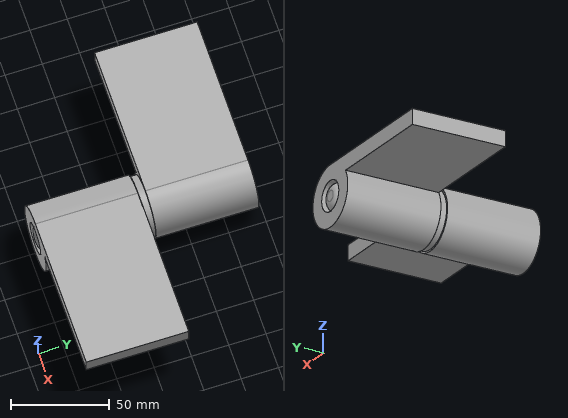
import cadquery as cq

HINGE_WIDTH = 164.0
KNUCKLE_DIAMETER = 35.0
LEAF_THICKNESS = 9.0
HINGE_LENGTH = 114.0
COLLAR_LENGTH = 4.0
COLLAR_DIAMETER = 33.0
BORE_DIAMETER = 17.0
PIN_DIAMETER = 16.0
PIN_END_ROUND = 5.1

knuckle_radius = KNUCKLE_DIAMETER / 2
leaf_reach = HINGE_WIDTH / 2
leaf_length = (HINGE_LENGTH - COLLAR_LENGTH) / 2


def cylinder_along_axis(diameter, length):
    """Cylinder on the hinge axis, centred on the origin."""
    return cq.Workplane("XZ").workplane(offset=-length / 2).circle(diameter / 2).extrude(length)


def make_leaf():
    """Front leaf: a bored knuckle with a plate toward +X, flush with the knuckle's top."""
    knuckle = cylinder_along_axis(KNUCKLE_DIAMETER, leaf_length)
    plate = cq.Workplane("XY").box(
        leaf_reach, leaf_length, LEAF_THICKNESS, centered=(False, True, False)
    ).translate((0, 0, knuckle_radius - LEAF_THICKNESS))
    bore = cylinder_along_axis(BORE_DIAMETER, leaf_length)
    leaf = knuckle.union(plate).cut(bore)
    return leaf.translate((0, -(leaf_length + COLLAR_LENGTH) / 2, 0))


def make_pin():
    """Pin with rounded ends flush with the knuckles, and a collar that spaces the two leaves."""
    shaft = cylinder_along_axis(PIN_DIAMETER, HINGE_LENGTH)
    shaft = shaft.faces("<Y or >Y").edges().fillet(PIN_END_ROUND)
    collar = cylinder_along_axis(COLLAR_DIAMETER, COLLAR_LENGTH)
    return shaft.union(collar)


leaves = []
for turn in (0, 180):
    leaves.append(make_leaf().rotate((0, 0, 0), (0, 0, 1), turn).val())

pin = make_pin()

result = cq.Compound.makeCompound([*leaves, pin.val()])